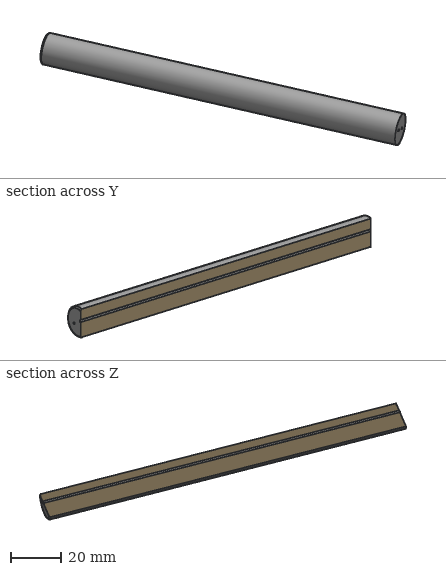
import cadquery as cq
import math

rod_length = 150.0
rod_diameter = 13.0
chamfer_size = 0.65

channel_count = 2
channel_diameter = 0.8
channel_pitch_diameter = 4.4
channel_angle = 28.0


def make_rod():
    """Solid rod centred on the origin, chamfered at its -X end."""
    rod = cq.Workplane("YZ").circle(rod_diameter / 2).extrude(rod_length / 2, both=True)
    return rod.faces("<X").chamfer(chamfer_size)


def make_channel(angle_degrees):
    """Cutter for one straight channel running the full rod length."""
    angle = math.radians(angle_degrees)
    pitch_radius = channel_pitch_diameter / 2
    y = -pitch_radius * math.cos(angle)
    z = pitch_radius * math.sin(angle)
    channel = cq.Workplane("YZ").center(y, z).circle(channel_diameter / 2)
    return channel.extrude(rod_length / 2, both=True)


result = make_rod()
for index in range(channel_count):
    result = result.cut(make_channel(channel_angle + index * 360.0 / channel_count))